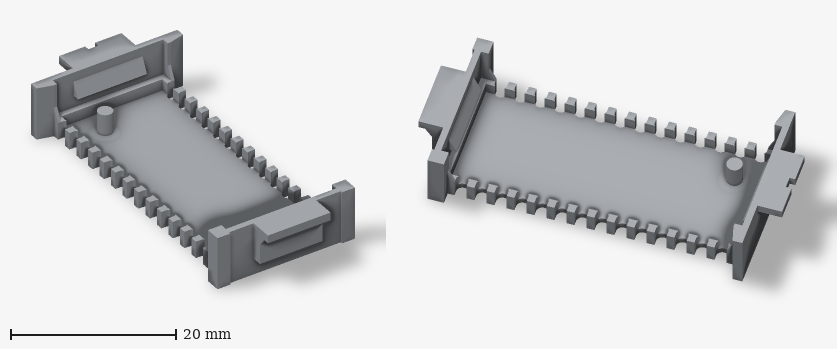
import cadquery as cq

height = 7.48
left_reach = 23.08
right_reach = 23.12

floor_thickness = 0.78
rail_height = 2.4
rail_outer_y = 8.45
floor_half_length = 18.28
floor_half_width = 7.3

slot_count = 14
slot_pitch = 2.54
slot_width = 1.56
slot_end_y = 7.0

wall_outer_x = 19.96
wall_thickness = 0.83
wall_inner_x = wall_outer_x - wall_thickness
flange_inner_x = 18.15
recess_half_width = 8.0
left_wall_half_width = 10.6
left_wall_edge_thickness = 1.25
right_wall_half_width = 9.95
right_flange_outer_x = 20.25
right_step_y = 8.1

gusset_top_z = 4.2
gusset_toe_x = slot_pitch * (slot_count - 1) / 2 + slot_width / 2

wedge_half_width = 5.0
wedge_top_z = 6.16
wedge_bottom_z = 4.1
wedge_tip_x = flange_inner_x

tab_half_width = 4.53
tab_thickness = 1.13
tab_bottom_z = height - tab_thickness
rib_projection = 1.4
rib_depth = 5.17
rib_chamfer_depth = 2.42
rib_bottom_z = height - rib_depth
rib_chamfer_bottom_z = height - rib_chamfer_depth
rib_chamfer_run = 0.9
notch_width = 1.45
notch_depth = 0.72

pin_x = -14.52
pin_y = -3.43
pin_radius = 1.0
pin_top_z = 3.95
pin_foot_radius = 2.0
pin_foot_height = 0.15


def block(x_min, x_max, half_width, z_min, z_max):
    """Box centred on Y = 0."""
    size = (x_max - x_min, 2 * half_width, z_max - z_min)
    return cq.Workplane("XY").box(*size, centered=False).translate((x_min, -half_width, z_min))


def side_extrusion(points, y_min, y_max):
    """Profile of (x, z) points extruded from y_min to y_max."""
    profile = cq.Workplane("XZ", origin=(0, y_max, 0)).polyline(points).close()
    return profile.extrude(y_max - y_min)


def tray():
    body = block(-wall_outer_x, wall_outer_x, rail_outer_y, 0, rail_height)
    opening = block(-floor_half_length, floor_half_length, floor_half_width, floor_thickness, rail_height)
    return body.cut(opening)


def left_wall():
    outline = [
        (-wall_outer_x, -left_wall_half_width),
        (-wall_outer_x + left_wall_edge_thickness, -left_wall_half_width),
        (-flange_inner_x, -rail_outer_y),
        (-flange_inner_x, -recess_half_width),
        (-wall_inner_x, -recess_half_width),
        (-wall_inner_x, recess_half_width),
        (-flange_inner_x, recess_half_width),
        (-flange_inner_x, rail_outer_y),
        (-wall_outer_x + left_wall_edge_thickness, left_wall_half_width),
        (-wall_outer_x, left_wall_half_width),
    ]
    return cq.Workplane("XY").polyline(outline).close().extrude(height)


def right_wall():
    wall = block(flange_inner_x, right_flange_outer_x, right_wall_half_width, 0, height)
    wall = wall.cut(block(flange_inner_x, wall_inner_x, recess_half_width, 0, height))
    return wall.cut(block(wall_outer_x, right_flange_outer_x, right_step_y, 0, height))


def gussets():
    """Four sloped webs, drawn for one corner and mirrored to the others."""
    profile = [
        (wall_inner_x, 0),
        (gusset_toe_x, 0),
        (gusset_toe_x, rail_height),
        (flange_inner_x, gusset_top_z),
        (wall_inner_x, gusset_top_z),
    ]
    web = side_extrusion(profile, recess_half_width, rail_outer_y)
    pair = web.union(web.mirror("XZ"))
    return pair.union(pair.mirror("YZ"))


def latch_wedges():
    profile = [
        (wall_outer_x, wedge_top_z),
        (wall_inner_x, wedge_top_z),
        (wedge_tip_x, wedge_bottom_z),
        (wall_outer_x, wedge_bottom_z),
    ]
    wedge = side_extrusion(profile, -wedge_half_width, wedge_half_width)
    return wedge.union(wedge.mirror("YZ"))


def rib(tip_x, half_width):
    """Rib under a +X tab, flaring out to tip_x where it meets the tab."""
    face_x = wall_outer_x + rib_projection
    profile = [
        (wall_inner_x, rib_bottom_z),
        (face_x, rib_bottom_z),
        (face_x, rib_chamfer_bottom_z),
        (tip_x, tab_bottom_z),
        (wall_inner_x, tab_bottom_z),
    ]
    return side_extrusion(profile, -half_width, half_width)


def left_tab():
    tab = block(-left_reach, -wall_inner_x, tab_half_width, tab_bottom_z, height)
    notch_end_x = -left_reach + notch_depth
    tab = tab.cut(block(-left_reach, notch_end_x, notch_width / 2, tab_bottom_z, height))
    return tab.union(rib(-notch_end_x, notch_width / 2).mirror("YZ"))


def right_tab():
    tab = block(wall_inner_x, right_reach, tab_half_width, tab_bottom_z, height)
    return tab.union(rib(wall_outer_x + rib_projection + rib_chamfer_run, tab_half_width))


def pin_slots():
    """Round-ended slots, cut through the full height of both rails."""
    radius = slot_width / 2
    centre_y = slot_end_y + radius
    open_y = rail_outer_y + radius
    slots = cq.Workplane("XY")
    for index in range(slot_count):
        x = (index - (slot_count - 1) / 2) * slot_pitch
        slot = (
            cq.Workplane("XY")
            .moveTo(x - radius, open_y)
            .lineTo(x - radius, centre_y)
            .threePointArc((x, slot_end_y), (x + radius, centre_y))
            .lineTo(x + radius, open_y)
            .close()
            .extrude(height)
        )
        slots = slots.add(slot).add(slot.mirror("XZ"))
    return slots.combine()


def locating_pin():
    """Round pin with a shallow conical foot."""
    foot_top_z = floor_thickness + pin_foot_height
    profile = [
        (0, 0),
        (pin_foot_radius, 0),
        (pin_foot_radius, floor_thickness),
        (pin_radius, foot_top_z),
        (pin_radius, pin_top_z),
        (0, pin_top_z),
    ]
    pin = cq.Workplane("XZ").polyline(profile).close().revolve(360, (0, 0), (0, 1))
    return pin.translate((pin_x, pin_y, 0))


result = tray().union(gussets())
result = result.cut(pin_slots())
for feature in (left_wall, right_wall, latch_wedges, left_tab, right_tab, locating_pin):
    result = result.union(feature())